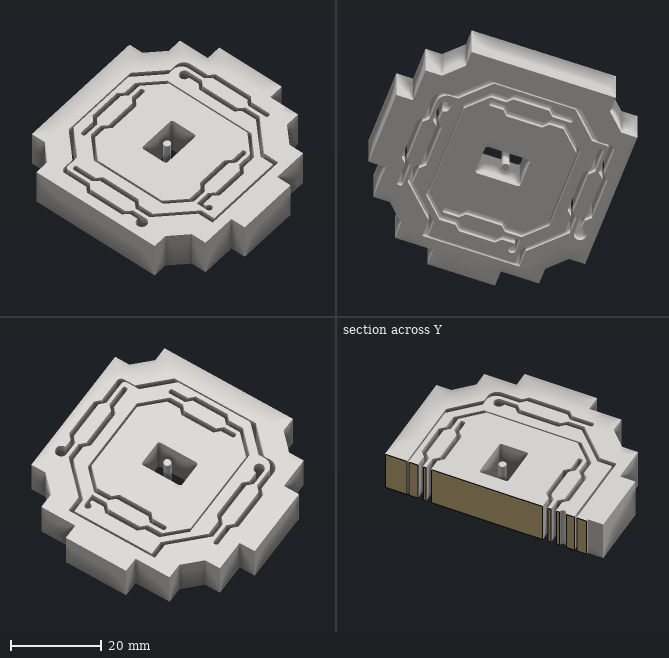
import cadquery as cq


plate_height = 10.0
left_side_x = -24.9
right_side_x = 25.1
bottom_side_y = -24.95
top_side_y = 25.05
side_half = 17.0
corner_cut_end = 21.15
top_tab_reach = 29.05
top_tab_width = 18.0
right_tab_reach = 28.95
right_tab_width = 16.0

pin_diameter = 1.8
window_length_x = 7.1
window_length_y = 10.6
window_shift_y = 0.65
window_corner_radius = 0.6

slot_width = 1.25
beam_thickness = 0.8
top_beam_y = 19.6
bottom_beam_y = -19.55
left_beam_x = -15.1
right_beam_x = 15.8
long_block_middle_x = 0.5
long_block_half = 5.0
short_block_half = 4.2

near_wall = beam_thickness / 2
far_wall = near_wall + slot_width

top_slot_end_x = 12.25
bottom_slot_end_x = -11.6
left_upper_slot_end_y = 8.85
left_lower_slot_end_y = -10.05
right_slot_end_y = 9.35
slot_end_radius = 0.5

left_gap_end_x = -10.1
left_frame_wall_x = -19.45
left_ring_wall_x = -19.05
left_frame_step_x = -13.1
left_ring_step_x = -12.8
left_frame_corner_y = 10.8
left_ring_corner_y = 9.55
upper_bend_diameter = 4.9
upper_bend_radius = upper_bend_diameter / 2
lower_frame_bend_radius = 1.2
lower_ring_bend_radius = 0.85
long_slot_bend_x = 10.75
right_frame_wall_x = 22.55
right_ring_wall_x = 22.0
right_frame_corner_y = 11.45
right_ring_corner_y = 10.25

ring_opening_y = 14.2
stage_top_y = 13.8
stage_bottom_y = -13.65
left_upper_bend_y = 9.1
left_lower_bend_y = -8.8
right_upper_bend_y = 9.3
right_lower_bend_y = -9.35

upper_relief_diameter = 2.55
upper_relief_x = -9.8
lower_relief_diameter = 2.8
lower_relief_x = 10.35
hook_relief_diameter = 1.6
hook_relief_x = 19.15
hook_bottom_y = -9.35
hook_width = 0.75


def through(sketch):
    """Solid of the full plate height."""
    return sketch.extrude(plate_height)


def through_polygon(points):
    return through(cq.Workplane("XY").polyline(points).close())


def through_cylinder(x, y, diameter):
    return through(cq.Workplane("XY").center(x, y).circle(diameter / 2))


def make_blank():
    outline = [
        (right_side_x, side_half),
        (corner_cut_end, side_half),
        (side_half, corner_cut_end),
        (side_half, top_side_y),
        (-side_half, top_side_y),
        (-side_half, corner_cut_end),
        (-corner_cut_end, side_half),
        (left_side_x, side_half),
        (left_side_x, -side_half),
        (-corner_cut_end, -side_half),
        (-side_half, -corner_cut_end),
        (-side_half, bottom_side_y),
        (side_half, bottom_side_y),
        (side_half, -corner_cut_end),
        (corner_cut_end, -side_half),
        (right_side_x, -side_half),
    ]
    top_tab = cq.Workplane("XY").rect(top_tab_width, top_tab_reach, centered=(True, False))
    right_tab = cq.Workplane("XY").rect(right_tab_reach, right_tab_width, centered=(False, True))
    return through_polygon(outline).union(through(top_tab)).union(through(right_tab))


def beam_slot(direction, axis, block_middle, block_half, side, start, end):
    """Slot along one side of a beam, stepping outward around its block.

    The beam runs along "X" or "Y" at the offset axis; side is +1 or -1 across it.
    """
    def wall(distance):
        steps = [
            (start, distance),
            (block_middle - block_half - slot_width, distance),
            (block_middle - block_half, distance + slot_width),
            (block_middle + block_half, distance + slot_width),
            (block_middle + block_half + slot_width, distance),
            (end, distance),
        ]
        return [(along, axis + side * across) for along, across in steps]

    points = wall(near_wall) + wall(far_wall)[::-1]
    if direction == "Y":
        points = [(x, y) for y, x in points]
    return through_polygon(points)


def long_beam_slot(axis, side, start, end):
    return beam_slot("X", axis, long_block_middle_x, long_block_half, side, start, end)


def short_beam_slot(axis, side, start, end):
    return beam_slot("Y", axis, 0, short_block_half, side, start, end)


def round_slot_end(slot, closed_face):
    return slot.faces(closed_face).edges("|Z").fillet(slot_end_radius)


def make_left_gap():
    """Frame-to-ring gap on the -X side, up to the outer slots of both long beams."""
    frame_step = left_frame_step_x - left_frame_wall_x
    ring_step = left_ring_step_x - left_ring_wall_x
    top_frame_y = top_beam_y + far_wall
    top_ring_y = top_beam_y + near_wall
    bottom_frame_y = bottom_beam_y - far_wall
    bottom_ring_y = bottom_beam_y - near_wall
    return through(
        cq.Workplane("XY")
        .moveTo(left_gap_end_x, top_frame_y)
        .lineTo(left_frame_step_x + upper_bend_radius, top_frame_y)
        .radiusArc((left_frame_step_x, top_frame_y - upper_bend_radius), -upper_bend_radius)
        .lineTo(left_frame_step_x, left_frame_corner_y + frame_step)
        .lineTo(left_frame_wall_x, left_frame_corner_y)
        .lineTo(left_frame_wall_x, -left_frame_corner_y)
        .lineTo(left_frame_step_x, -left_frame_corner_y - frame_step)
        .lineTo(left_frame_step_x, bottom_frame_y + lower_frame_bend_radius)
        .radiusArc((left_frame_step_x + lower_frame_bend_radius, bottom_frame_y), -lower_frame_bend_radius)
        .lineTo(left_gap_end_x, bottom_frame_y)
        .lineTo(left_gap_end_x, bottom_ring_y)
        .lineTo(left_ring_step_x + lower_ring_bend_radius, bottom_ring_y)
        .radiusArc((left_ring_step_x, bottom_ring_y + lower_ring_bend_radius), lower_ring_bend_radius)
        .lineTo(left_ring_step_x, -left_ring_corner_y - ring_step)
        .lineTo(left_ring_wall_x, -left_ring_corner_y)
        .lineTo(left_ring_wall_x, left_ring_corner_y)
        .lineTo(left_ring_step_x, left_ring_corner_y + ring_step)
        .lineTo(left_ring_step_x, top_ring_y - upper_bend_radius)
        .radiusArc((left_ring_step_x + upper_bend_radius, top_ring_y), upper_bend_radius)
        .lineTo(left_gap_end_x, top_ring_y)
        .close()
    )


def make_right_gap():
    """Frame-to-ring gap on the +X side, up to the inner slots of both long beams."""
    top_frame_y = top_beam_y - near_wall
    top_ring_y = top_beam_y - far_wall
    bottom_frame_y = bottom_beam_y + near_wall
    bottom_ring_y = bottom_beam_y + far_wall
    return through_polygon([
        (long_slot_bend_x, top_frame_y),
        (long_slot_bend_x + top_frame_y - right_frame_corner_y, right_frame_corner_y),
        (right_frame_wall_x, right_frame_corner_y),
        (right_frame_wall_x, -right_frame_corner_y),
        (long_slot_bend_x - bottom_frame_y - right_frame_corner_y, -right_frame_corner_y),
        (long_slot_bend_x, bottom_frame_y),
        (long_slot_bend_x, bottom_ring_y),
        (long_slot_bend_x - bottom_ring_y - right_ring_corner_y, -right_ring_corner_y),
        (right_ring_wall_x, -right_ring_corner_y),
        (right_ring_wall_x, right_ring_corner_y),
        (long_slot_bend_x + top_ring_y - right_ring_corner_y, right_ring_corner_y),
        (long_slot_bend_x, top_ring_y),
    ])


def make_stage_gap(ring_y, stage_y, left_walls, right_walls, left_bend_y, right_bend_y):
    """Ring-to-stage gap across one end of the stage, with a 45 degree run at each side."""
    left_ring_x, left_stage_x = left_walls
    right_ring_x, right_stage_x = right_walls
    return through_polygon([
        (left_ring_x, left_bend_y),
        (left_ring_x + abs(ring_y - left_bend_y), ring_y),
        (right_ring_x - abs(ring_y - right_bend_y), ring_y),
        (right_ring_x, right_bend_y),
        (right_stage_x, right_bend_y),
        (right_stage_x - abs(stage_y - right_bend_y), stage_y),
        (left_stage_x + abs(stage_y - left_bend_y), stage_y),
        (left_stage_x, left_bend_y),
    ])


def make_long_beam_slots():
    outer_top = long_beam_slot(top_beam_y, 1, left_gap_end_x, top_slot_end_x)
    inner_top = long_beam_slot(top_beam_y, -1, upper_relief_x, long_slot_bend_x)
    outer_bottom = long_beam_slot(bottom_beam_y, -1, left_gap_end_x, lower_relief_x)
    inner_bottom = long_beam_slot(bottom_beam_y, 1, bottom_slot_end_x, long_slot_bend_x)
    return [
        round_slot_end(outer_top, ">X"),
        inner_top,
        outer_bottom,
        round_slot_end(inner_bottom, "<X"),
    ]


def make_short_beam_slots():
    outer_left = short_beam_slot(left_beam_x, -1, left_lower_slot_end_y, left_upper_bend_y)
    inner_left = short_beam_slot(left_beam_x, 1, left_lower_bend_y, left_upper_slot_end_y)
    outer_right = short_beam_slot(right_beam_x, 1, hook_bottom_y, right_upper_bend_y)
    inner_right = short_beam_slot(right_beam_x, -1, right_lower_bend_y, right_slot_end_y)
    return [
        round_slot_end(outer_left, "<Y"),
        round_slot_end(inner_left, ">Y"),
        outer_right,
        round_slot_end(inner_right, ">Y"),
    ]


def make_stage_gaps():
    top_gap = make_stage_gap(
        ring_opening_y,
        stage_top_y,
        (left_beam_x - far_wall, left_beam_x - near_wall),
        (right_beam_x + far_wall, right_beam_x + near_wall),
        left_upper_bend_y,
        right_upper_bend_y,
    )
    bottom_gap = make_stage_gap(
        -ring_opening_y,
        stage_bottom_y,
        (left_beam_x + near_wall, left_beam_x + far_wall),
        (right_beam_x - near_wall, right_beam_x - far_wall),
        left_lower_bend_y,
        right_lower_bend_y,
    )
    return [top_gap, bottom_gap]


def make_reliefs():
    """Round holes at the slot ends, each tangent to one wall of its slot."""
    upper_y = top_beam_y - near_wall - upper_relief_diameter / 2
    lower_y = bottom_beam_y - near_wall - lower_relief_diameter / 2
    hook_y = hook_bottom_y + hook_relief_diameter / 2
    return [
        through_cylinder(upper_relief_x, upper_y, upper_relief_diameter),
        through_cylinder(lower_relief_x, lower_y, lower_relief_diameter),
        through_cylinder(hook_relief_x, hook_y, hook_relief_diameter),
    ]


def make_hook():
    """Short channel from the end of the outer +X beam slot to its relief hole."""
    start_x = right_beam_x + near_wall
    channel = cq.Workplane("XY").moveTo(start_x, hook_bottom_y)
    return through(channel.rect(hook_relief_x - start_x, hook_width, centered=False))


def make_window():
    outline = cq.Workplane("XY").center(0, window_shift_y).rect(window_length_x, window_length_y)
    return through(outline).edges("|Z").fillet(window_corner_radius)


def make_plate():
    cuts = [make_left_gap(), make_right_gap(), make_hook(), make_window()]
    cuts += make_long_beam_slots()
    cuts += make_short_beam_slots()
    cuts += make_stage_gaps()
    cuts += make_reliefs()
    plate = make_blank()
    for cut in cuts:
        plate = plate.cut(cut)
    return plate


def make_pin():
    return through_cylinder(0, 0, pin_diameter)


plate = make_plate()
pin = make_pin()
result = cq.Compound.makeCompound([plate.solids().val(), pin.val()])